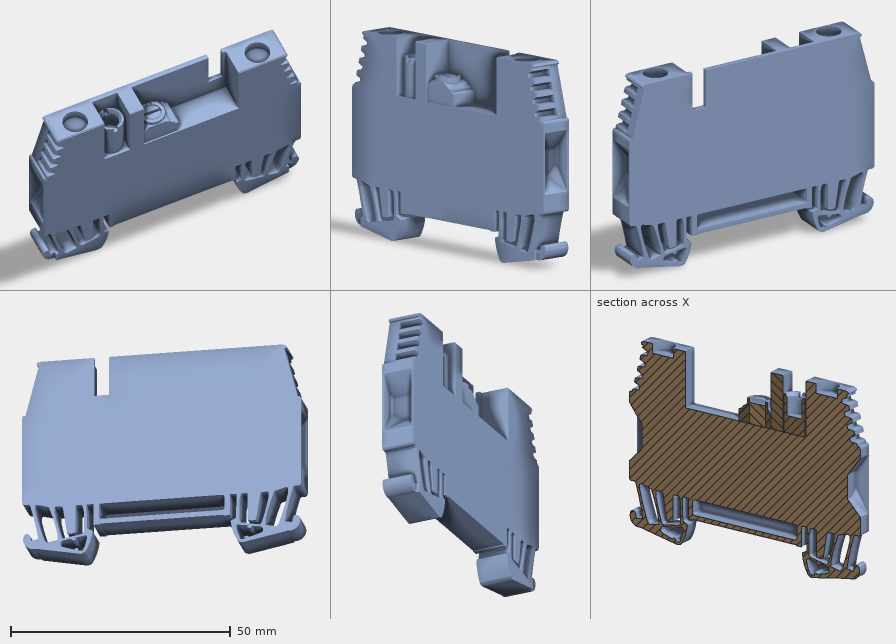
import cadquery as cq

THICKNESS = 7.9
HALF_LENGTH = 32.5
TOP = 47.45

BODY_BOTTOM = 12.9
SHOULDER_Z = 34.6
SHOULDER_Y = 31.8
SLOPE_FOOT_Z = 34.3
NECK_Y = 28.6
NECK_Z = 46.5
RIM_STEP = 0.2

BASE_TOP = 15.6
SLOT_TOP = 11.9
RAIL_PAD_Y = 15.9
RAIL_PAD_BOTTOM = 6.8
RAIL_STEP_Y = 14.5
RAIL_BOTTOM = 7.0
HOOK_WIDTH = 7.1
SOLE_END_Y = 29.4
HOOK_TOP = 5.85
BACK_WEB = 0.3
RAIL_RECESS_HALF_LENGTH = 14.6
RAIL_RECESS_BOTTOM = 8.2
RAIL_RECESS_ROUND = 0.5

SCREW_HOLE_X = 4.55
SCREW_HOLE_Y = 23.0
SCREW_HOLE_RADIUS = 2.9
SCREW_HOLE_DEPTH = 2.35

GROOVE_COUNT = 4
GROOVE_PITCH = 2.9
GROOVE_FIRST_TOP = 45.8
GROOVE_HEIGHT = 1.9
GROOVE_DEPTH = 1.75
GROOVE_LIP = 0.8
GROOVE_LIP_DROP = 0.2
GROOVE_CEILING_DROP = 0.8
GROOVE_START_X = 2.7

FUNNEL_DEPTH = 3.6
FUNNEL_LEFT, FUNNEL_RIGHT = 0.6, 7.5
FUNNEL_BOTTOM, FUNNEL_TOP = 17.55, 31.85
FUNNEL_END_LEFT, FUNNEL_END_RIGHT = 1.2, 7.3
FUNNEL_END_TOP = 27.1
FUNNEL_END_SIDE_BOTTOM = 22.95
FUNNEL_END_BOTTOM = 21.2
FUNNEL_FLOOR_LEFT, FUNNEL_FLOOR_RIGHT = 3.3, 5.85

WALL = 1.2
POCKET_FLOOR = 33.8
POCKET_END_Y = 16.65
BLOCK_FAR_Y = -7.2
BLOCK_NEAR_Y = -10.8
POCKET_START_Y = -17.15
WALL_SLOT_FAR_Y, WALL_SLOT_NEAR_Y = 15.8, 12.3
WALL_SLOT_BOTTOM = 38.2

SLIDER_X0, SLIDER_X1 = 1.3, 7.6
SLIDER_TOP = 39.0
SLIDER_FAR_Y = 1.7
SCREW_X, SCREW_Y = 4.55, -3.6
COLLAR_RADIUS = 2.9
COLLAR_TOP = 40.0
SCREW_RADIUS = 2.2
SCREW_CHAMFER = 0.4
DRIVER_SLOT_WIDTH = 0.8
DRIVER_SLOT_DEPTH = 1.0
KEYWAY_WIDTH = 1.4
KEYWAY_LENGTH = 0.8
KEYWAY_DEPTH = 1.0
KEYWAY_OFFSET = 0.25

SOCKET_X, SOCKET_Y = 4.3, -14.0
SOCKET_RADIUS = 3.05
SOCKET_BORE_RADIUS = 2.0
SOCKET_SINK_RADIUS = 2.6
SOCKET_SINK_DEPTH = 0.8
SOCKET_BORE_DEPTH = 5.2
SOCKET_TOP = 43.15
SOCKET_SLOT_WIDTH = 1.0
SOCKET_SLOT_DEPTH = 1.3


def box(x0, x1, y0, y1, z0, z1):
    return cq.Workplane("XY").box(x1 - x0, y1 - y0, z1 - z0, centered=False).translate((x0, y0, z0))


def cylinder(x, y, z0, z1, radius):
    return cq.Workplane("XY", origin=(x, y, z0)).circle(radius).extrude(z1 - z0)


def both_ends(shape):
    """The shape at the +Y end together with its mirror image at the -Y end."""
    return shape.union(shape.mirror("XZ"))


def upper_body():
    """Symmetrical block whose outline steps inwards along its +X edge."""
    half = (
        cq.Workplane("YZ")
        .moveTo(0, BODY_BOTTOM)
        .lineTo(32.1, BODY_BOTTOM)
        .lineTo(32.45, 13.2)
        .lineTo(HALF_LENGTH, 13.6)
        .lineTo(HALF_LENGTH, 34.0)
        .lineTo(32.4, 34.4)
        .lineTo(32.2, SHOULDER_Z)
        .lineTo(31.9, SHOULDER_Z)
        .lineTo(SHOULDER_Y, SLOPE_FOOT_Z)
        .lineTo(NECK_Y, NECK_Z)
        .lineTo(29.0, 46.55)
        .lineTo(29.2, 46.85)
        .lineTo(28.9, 47.25)
        .lineTo(28.3, TOP)
        .lineTo(0, TOP)
        .close()
        .extrude(THICKNESS - RIM_STEP)
    )
    body = both_ends(half).clean()
    rim = body.faces(">X").wires().toPending().offset2D(-RIM_STEP).extrude(RIM_STEP, combine=False)
    return body.union(rim)


def base_with_feet():
    """Rail pad in the middle, then an elastic foot with a hook at each end."""
    half = (
        cq.Workplane("YZ")
        .moveTo(0, BASE_TOP)
        .lineTo(0, RAIL_BOTTOM)
        .lineTo(RAIL_STEP_Y, RAIL_BOTTOM)
        .lineTo(RAIL_STEP_Y, RAIL_PAD_BOTTOM)
        .lineTo(RAIL_PAD_Y, RAIL_PAD_BOTTOM)
        .lineTo(RAIL_PAD_Y, SLOT_TOP)
        .lineTo(17.5, SLOT_TOP)
        .lineTo(17.35, 6.2)
        .lineTo(16.7, 5.65)
        .threePointArc((16.2, 5.5), (16.1, 5.15))
        .threePointArc((16.7, 2.6), (17.8, 0.4))
        .threePointArc((18.3, 0.1), (18.9, 0))
        .lineTo(SOLE_END_Y, 2.0)
        .threePointArc((31.6, 2.7), (32.3, 4.5))
        .lineTo(32.2, 5.1)
        .threePointArc((31.5, 5.7), (30.7, 5.25))
        .lineTo(30.4, 4.0)
        .lineTo(28.7, 4.35)
        .threePointArc((29.6, 8.6), (30.7, 12.6))
        .lineTo(31.0, BODY_BOTTOM)
        .lineTo(31.0, BASE_TOP)
        .close()
        .extrude(THICKNESS)
    )
    half = half.cut(outer_leg_gap()).cut(post_gap()).cut(sole_recess())
    half = half.cut(box(HOOK_WIDTH, THICKNESS, SOLE_END_Y, HALF_LENGTH, 0, HOOK_TOP))
    return both_ends(half).cut(rail_recess())


def outer_leg_gap():
    """Opening between the two outer legs of a foot."""
    return (
        cq.Workplane("YZ")
        .moveTo(29.5, 12.4)
        .lineTo(29.1, 12.7)
        .lineTo(26.65, 12.0)
        .threePointArc((26.25, 11.75), (26.05, 11.25))
        .threePointArc((25.0, 8.25), (24.3, 5.25))
        .lineTo(24.2, 3.85)
        .lineTo(26.8, 3.3)
        .lineTo(27.3, 3.9)
        .threePointArc((28.6, 7.8), (29.5, 11.3))
        .close()
        .extrude(THICKNESS)
    )


def post_gap():
    """U-shaped opening around the stiff post of a foot."""
    return (
        cq.Workplane("YZ")
        .moveTo(24.95, SLOT_TOP)
        .lineTo(23.3, SLOT_TOP)
        .lineTo(23.0, 11.45)
        .lineTo(22.1, 5.5)
        .lineTo(21.85, 5.2)
        .lineTo(21.0, 5.15)
        .lineTo(20.1, 5.4)
        .lineTo(20.1, 11.65)
        .lineTo(19.8, SLOT_TOP)
        .lineTo(18.5, SLOT_TOP)
        .lineTo(18.3, 11.25)
        .lineTo(18.15, 10.3)
        .lineTo(18.15, 5.25)
        .lineTo(18.5, 4.9)
        .lineTo(22.95, 4.0)
        .lineTo(23.35, 4.5)
        .threePointArc((24.25, 7.55), (24.95, 10.7))
        .close()
        .extrude(THICKNESS)
    )


def sole_recess():
    """Blind recess in the toe of a foot, with two small ribs pointing into it."""
    return (
        cq.Workplane("YZ")
        .moveTo(23.6, 3.05)
        .lineTo(23.2, 3.5)
        .lineTo(21.2, 3.85)
        .lineTo(20.7, 3.3)
        .lineTo(20.1, 3.5)
        .lineTo(19.95, 4.0)
        .lineTo(17.55, 4.4)
        .lineTo(17.35, 3.9)
        .lineTo(17.8, 2.1)
        .lineTo(18.4, 0.8)
        .lineTo(19.45, 0.8)
        .lineTo(19.5, 1.4)
        .lineTo(20.0, 1.5)
        .lineTo(20.4, 1.2)
        .lineTo(23.2, 2.0)
        .lineTo(23.6, 2.4)
        .close()
        .extrude(THICKNESS - BACK_WEB)
    )


def rail_recess():
    recess = box(
        0, THICKNESS - BACK_WEB,
        -RAIL_RECESS_HALF_LENGTH, RAIL_RECESS_HALF_LENGTH,
        RAIL_RECESS_BOTTOM, SLOT_TOP,
    )
    return recess.edges("|X").fillet(RAIL_RECESS_ROUND)


def screw_hole():
    return cylinder(SCREW_HOLE_X, SCREW_HOLE_Y, TOP - SCREW_HOLE_DEPTH, TOP, SCREW_HOLE_RADIUS)


def slope_y(z):
    """Y of the sloping end face at height z."""
    return NECK_Y + (NECK_Z - z) * (SHOULDER_Y - NECK_Y) / (NECK_Z - SLOPE_FOOT_Z)


def grip_grooves():
    """Grooves with a level floor, a lip that falls outwards and a ceiling that drops inwards."""
    grooves = []
    for i in range(GROOVE_COUNT):
        top = GROOVE_FIRST_TOP - i * GROOVE_PITCH
        inner_top = top - GROOVE_CEILING_DROP
        bottom = top - GROOVE_HEIGHT
        floor = bottom + GROOVE_LIP_DROP
        groove = (
            cq.Workplane("YZ", origin=(GROOVE_START_X, 0, 0))
            .moveTo(slope_y(top), top)
            .lineTo(slope_y(inner_top) - GROOVE_DEPTH, inner_top)
            .lineTo(slope_y(floor) - GROOVE_DEPTH, floor)
            .lineTo(slope_y(floor) - GROOVE_LIP, floor)
            .lineTo(slope_y(bottom), bottom)
            .close()
            .extrude(THICKNESS - GROOVE_START_X)
        )
        grooves.append(groove)
    return grooves


def wire_funnel():
    """Straight-sided entry with sloping ceiling and floor, and facets in the corners of its inner end."""
    outer_y = HALF_LENGTH
    inner_y = HALF_LENGTH - FUNNEL_DEPTH
    ceiling_slope = (FUNNEL_TOP - FUNNEL_END_TOP) / FUNNEL_DEPTH

    def side_points(wall_x, end_x, floor_x):
        """Corner points of one side, from the mouth's top round to the end of the floor."""
        facet = abs(end_x - wall_x)
        wall_y = inner_y + facet
        rise_per_x = (FUNNEL_END_SIDE_BOTTOM - FUNNEL_END_BOTTOM) / abs(floor_x - end_x)
        rise_per_y = (FUNNEL_END_SIDE_BOTTOM - FUNNEL_BOTTOM + rise_per_x * facet) / FUNNEL_DEPTH
        wall_z = FUNNEL_BOTTOM + rise_per_y * (outer_y - wall_y)
        return [
            (wall_x, outer_y, FUNNEL_TOP),
            (wall_x, wall_y, FUNNEL_END_TOP + ceiling_slope * facet),
            (end_x, inner_y, FUNNEL_END_TOP),
            (end_x, inner_y, FUNNEL_END_SIDE_BOTTOM),
            (wall_x, wall_y, wall_z),
            (wall_x, outer_y, FUNNEL_BOTTOM),
            (floor_x, inner_y, FUNNEL_END_BOTTOM),
        ]

    left = side_points(FUNNEL_LEFT, FUNNEL_END_LEFT, FUNNEL_FLOOR_LEFT)
    right = side_points(FUNNEL_RIGHT, FUNNEL_END_RIGHT, FUNNEL_FLOOR_RIGHT)
    outlines = []
    for mouth_top, wall_top, end_top, end_side, wall_low, mouth_low, floor_end in (left, right):
        outlines.append([mouth_top, wall_top, wall_low, mouth_low])
        outlines.append([wall_top, end_top, end_side, wall_low])
        outlines.append([mouth_low, wall_low, end_side, floor_end])
    mouth = [left[0], left[5], right[5], right[0]]
    ceiling = [left[0], left[1], left[2], right[2], right[1], right[0]]
    end = [left[2], left[3], left[6], right[6], right[3], right[2]]
    floor = [left[5], left[6], right[6], right[5]]
    outlines += [mouth, ceiling, end, floor]
    faces = []
    for points in outlines:
        outline = cq.Wire.makePolygon([cq.Vector(*point) for point in points], close=True)
        faces.append(cq.Face.makeFromWires(outline))
    return cq.Workplane(obj=cq.Solid.makeSolid(cq.Shell.makeShell(faces)))


def make_housing():
    body = upper_body().union(base_with_feet())
    hole = screw_hole()
    body = body.cut(hole).cut(hole.mirror("XZ"))
    for groove in grip_grooves():
        body = body.cut(groove).cut(groove.mirror("XZ"))
    funnel = wire_funnel()
    body = body.cut(funnel).cut(funnel.mirror("XZ"))
    body = body.cut(box(WALL, THICKNESS, POCKET_START_Y, POCKET_END_Y, POCKET_FLOOR, TOP))
    return body.cut(box(0, WALL, WALL_SLOT_NEAR_Y, WALL_SLOT_FAR_Y, WALL_SLOT_BOTTOM, TOP))


def make_divider_block():
    block = box(WALL, THICKNESS, BLOCK_NEAR_Y, BLOCK_FAR_Y, POCKET_FLOOR, TOP)
    return block.edges(">X and >Z").chamfer(RIM_STEP)


def make_slider():
    """Humped block with a stepped far side and a raised collar, bored for the screw."""
    hump = (
        cq.Workplane("YZ", origin=(SLIDER_X0, 0, 0))
        .moveTo(BLOCK_FAR_Y, POCKET_FLOOR)
        .lineTo(BLOCK_FAR_Y, SLIDER_TOP - 3.25)
        .threePointArc((-6.75, SLIDER_TOP - 1.05), (-5.65, SLIDER_TOP))
        .lineTo(-1.7, SLIDER_TOP)
        .lineTo(-0.7, SLIDER_TOP - 0.45)
        .threePointArc((-0.2, SLIDER_TOP - 1.0), (0.65, SLIDER_TOP - 1.35))
        .lineTo(0.65, SLIDER_TOP - 1.95)
        .lineTo(1.0, SLIDER_TOP - 1.95)
        .lineTo(SLIDER_FAR_Y, SLIDER_TOP - 2.3)
        .lineTo(SLIDER_FAR_Y, POCKET_FLOOR)
        .close()
        .extrude(SLIDER_X1 - SLIDER_X0)
    )
    collar = cylinder(SCREW_X, SCREW_Y, POCKET_FLOOR, COLLAR_TOP, COLLAR_RADIUS)
    bore = cylinder(SCREW_X, SCREW_Y, POCKET_FLOOR, COLLAR_TOP, SCREW_RADIUS)
    return hump.union(collar).cut(bore).cut(collar_keyway())


def collar_keyway():
    """Notch in the collar's rim with a rounded floor."""
    key_x = SCREW_X - COLLAR_RADIUS
    key_y = SCREW_Y + KEYWAY_OFFSET
    floor_z = COLLAR_TOP - KEYWAY_DEPTH
    keyway = box(
        key_x, key_x + KEYWAY_LENGTH,
        key_y - KEYWAY_WIDTH / 2, key_y + KEYWAY_WIDTH / 2,
        floor_z, COLLAR_TOP,
    )
    rounded_floor = (
        cq.Workplane("YZ", origin=(key_x, key_y, floor_z))
        .circle(KEYWAY_WIDTH / 2)
        .extrude(KEYWAY_LENGTH)
    )
    return keyway.cut(rounded_floor)


def make_slotted_screw():
    screw = cylinder(SCREW_X, SCREW_Y, POCKET_FLOOR, COLLAR_TOP, SCREW_RADIUS)
    screw = screw.faces(">Z").chamfer(SCREW_CHAMFER)
    driver_slot = box(
        SCREW_X - DRIVER_SLOT_WIDTH / 2, SCREW_X + DRIVER_SLOT_WIDTH / 2,
        SCREW_Y - SCREW_RADIUS, SCREW_Y + SCREW_RADIUS,
        COLLAR_TOP - DRIVER_SLOT_DEPTH, COLLAR_TOP,
    )
    return screw.cut(driver_slot)


def make_test_socket():
    """Slotted tube with a countersunk blind bore."""
    tube = cylinder(SOCKET_X, SOCKET_Y, POCKET_FLOOR, SOCKET_TOP, SOCKET_RADIUS)
    bore_bottom = SOCKET_TOP - SOCKET_BORE_DEPTH
    tube = tube.cut(cylinder(SOCKET_X, SOCKET_Y, bore_bottom, SOCKET_TOP, SOCKET_BORE_RADIUS))
    countersink = cq.Solid.makeCone(
        SOCKET_BORE_RADIUS, SOCKET_SINK_RADIUS, SOCKET_SINK_DEPTH,
        pnt=cq.Vector(SOCKET_X, SOCKET_Y, SOCKET_TOP - SOCKET_SINK_DEPTH),
    )
    cross_slot = box(
        SOCKET_X - SOCKET_RADIUS, SOCKET_X + SOCKET_RADIUS,
        SOCKET_Y - SOCKET_SLOT_WIDTH / 2, SOCKET_Y + SOCKET_SLOT_WIDTH / 2,
        SOCKET_TOP - SOCKET_SLOT_DEPTH, SOCKET_TOP,
    )
    return tube.cut(cq.Workplane(obj=countersink)).cut(cross_slot)


housing = make_housing()
divider_block = make_divider_block()
slider = make_slider()
slotted_screw = make_slotted_screw()
test_socket = make_test_socket()

result = cq.Compound.makeCompound(
    [housing.val(), divider_block.val(), slider.val(), slotted_screw.val(), test_socket.val()]
)